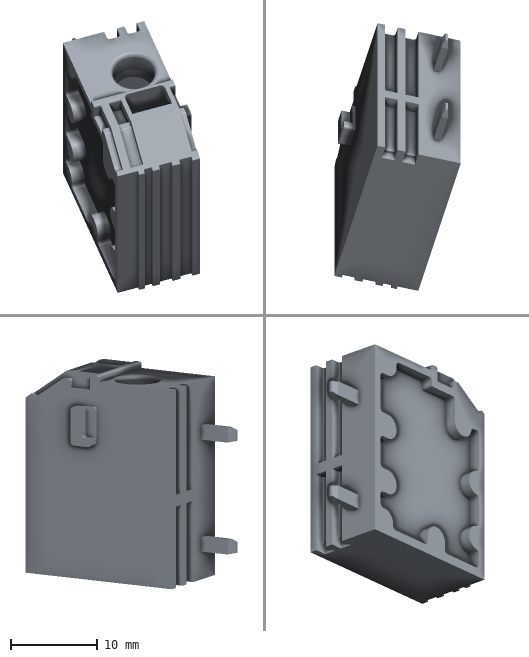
import cadquery as cq
import math

body_x = 19.65
body_y = 10.0
body_z = 24.25
edge_r = 0.27

deck_z = 23.5
ridge_x = 9.92
slope_x = 14.65
slope_angle = 35.0
slope_rise = math.tan(math.radians(slope_angle))

channel_bands = [(0, 0.8), (1.77, 3.3), (9.26, body_y)]
channel_x = 10.95
channel_step_x = 13.73
channel_floor_z = 22.43
channel_end_x = 18.8
channel_bend_r = 0.41

pocket_depth = 1.55
pocket_left = 1.0
pocket_right = 18.25
pocket_bottom = 1.07
pocket_top = 22.53
pocket_step_x = 10.0
pocket_step_z = 21.45
pocket_shoulder_x = 14.06
pocket_finger_z = 18.53
pocket_corner_r = 0.44
pocket_step_r = 0.3
boss_r = 1.5
left_boss_x = 2.28
left_boss_heights = [6.77, 13.8, 21.8]
right_boss_x = 18.07
right_boss_heights = [4.87, 11.83]
bottom_boss_x = 10.8
bottom_boss_z = 2.35
corner_boss = 1.7
shoulder_boss_r = 1.45
shoulder_boss_z = 18.45

groove_bands = [(5.07, 6.62), (7.57, 9.07)]
groove_depth = 1.25
groove_r = 0.3
bridge_bottom = 9.63
bridge_top = 10.94
recess_depth = 1.55
recess_z = 1.24
back_x = 19.25
rib_gap_bands = [(0, 2.5), (3.2, 4.2)] + groove_bands

well_x = 6.75
well_y = 6.33
well_d = 4.9
well_floor_d = 4.4
well_mouth_d = 5.92
well_straight = 2.67
well_taper = 0.97

window_left = 10.43
window_right = 13.43
window_front = 3.83
window_back = 8.73
window_corner_r = 0.53
ledge_z = 20.37
ledge_x = 11.37
right_ledge = 0.12
funnel_z = 14.55
throat_left = 10.85
throat_right = 11.88
throat_front = 4.27
throat_back = 8.12
throat_depth = 1.95

pin_length = 4.55
pin_y = 2.89
pin_heights = [4.2, 17.44]
pin_width = 0.8
pin_height = 1.75
pin_tip_width = 0.35
pin_tip_height = 1.29
pin_taper_x = -3.56
pin_bend = 0.085
pin_embed = 0.25

latch_left = 10.05
latch_right = 12.83
latch_bottom = 16.0
latch_top = 20.56
latch_y = 1.35
latch_neck = 0.36
latch_r = 0.35
notch_x = 11.23
notch_z = 17.0


def box(x0, x1, y0, y1, z0, z1):
    return cq.Workplane("XY").box(x1 - x0, y1 - y0, z1 - z0, centered=False).translate((x0, y0, z0))


def rod(x, z, radius, y0, y1):
    """Cylinder along Y."""
    return cq.Workplane("XZ", origin=(x, y0, z)).circle(radius).extrude(y0 - y1)


def prism(points, y0, y1):
    """XZ polygon extruded along Y."""
    return cq.Workplane("XZ", origin=(0, y0, 0)).polyline(points).close().extrude(y0 - y1)


def round_edge(solid, x, y, z, radius):
    """Fillet the one edge whose middle is nearest to the given point."""
    return solid.edges(cq.selectors.NearestToPointSelector((x, y, z))).fillet(radius)


def slope_z(x):
    """Height of the shoulder surface at x."""
    return body_z - slope_rise * (x - slope_x)


def housing():
    outline = [
        (0, 0), (body_x, 0), (body_x, slope_z(body_x)), (slope_x, body_z),
        (ridge_x, body_z), (ridge_x, deck_z), (0, deck_z),
    ]
    return round_edge(prism(outline, 0, body_y), ridge_x, body_y / 2, body_z, edge_r)


def top_channel(y0, y1):
    """Stepped channel whose far end runs parallel to the shoulder and closes in a quarter circle."""
    drop = body_z - deck_z
    angle = math.radians(slope_angle)
    end_r = drop * math.cos(angle)
    centre_x = channel_end_x - end_r * math.cos(angle)
    centre_z = slope_z(centre_x)
    floor_end = (centre_x - end_r * math.sin(angle), centre_z - end_r * math.cos(angle))
    middle_angle = math.pi / 4 - angle
    arc_middle = (centre_x + end_r * math.sin(middle_angle), centre_z - end_r * math.cos(middle_angle))
    mouth_mid = edge_r * (1 - math.sqrt(0.5))
    channel = (
        cq.Workplane("XZ", origin=(0, y0, 0))
        .moveTo(channel_x - edge_r, body_z)
        .threePointArc((channel_x - mouth_mid, body_z - mouth_mid), (channel_x, body_z - edge_r))
        .lineTo(channel_x, channel_floor_z)
        .lineTo(channel_step_x, channel_floor_z)
        .lineTo(channel_step_x, deck_z)
        .lineTo(slope_x, deck_z)
        .lineTo(*floor_end)
        .threePointArc(arc_middle, (channel_end_x, slope_z(channel_end_x)))
        .lineTo(slope_x, body_z)
        .close()
        .extrude(y0 - y1)
    )
    y_mid = (y0 + y1) / 2
    channel = round_edge(channel, channel_step_x, y_mid, deck_z, edge_r)
    return round_edge(channel, slope_x, y_mid, deck_z, channel_bend_r)


def side_pocket():
    """Shallow pocket that leaves round bosses standing around its rim."""
    outline = [
        (pocket_left, pocket_bottom), (pocket_right, pocket_bottom), (pocket_right, pocket_finger_z),
        (pocket_shoulder_x, pocket_finger_z), (pocket_shoulder_x, pocket_step_z),
        (pocket_step_x, pocket_step_z), (pocket_step_x, pocket_top), (pocket_left, pocket_top),
    ]
    pocket = prism(outline, 0, pocket_depth)
    pocket = round_edge(pocket, pocket_step_x, pocket_depth / 2, pocket_step_z, pocket_step_r)
    for z in left_boss_heights:
        pocket = pocket.cut(rod(left_boss_x, z, boss_r, 0, pocket_depth))
        pocket = pocket.cut(box(0, left_boss_x, 0, pocket_depth, z - boss_r, z + boss_r))
    for z in right_boss_heights:
        pocket = pocket.cut(rod(right_boss_x, z, boss_r, 0, pocket_depth))
    pocket = pocket.cut(rod(bottom_boss_x, bottom_boss_z, boss_r, 0, pocket_depth))
    pocket = pocket.cut(
        box(bottom_boss_x - boss_r, bottom_boss_x + boss_r, 0, pocket_depth, 0, bottom_boss_z)
    )
    reach = corner_boss + boss_r
    pocket = pocket.cut(rod(corner_boss, corner_boss, boss_r, 0, pocket_depth))
    pocket = pocket.cut(box(0, corner_boss, 0, pocket_depth, 0, reach))
    pocket = pocket.cut(box(0, reach, 0, pocket_depth, 0, corner_boss))
    top_boss_z = left_boss_heights[-1]
    pocket = pocket.cut(box(0, left_boss_x + boss_r, 0, pocket_depth, top_boss_z, pocket_top))
    shoulder_boss_x = pocket_shoulder_x + shoulder_boss_r
    pocket = pocket.cut(rod(shoulder_boss_x, shoulder_boss_z, shoulder_boss_r, 0, pocket_depth))
    outline_wire = pocket.faces("<Y").wires().val()
    return (
        cq.Workplane("XZ")
        .add(outline_wire)
        .toPending()
        .offset2D(-pocket_corner_r)
        .offset2D(pocket_corner_r)
        .extrude(-pocket_depth)
    )


def pin_face_groove(y0, y1):
    """Two round-cornered grooves with a bridge between, deepened without rounding at the base."""
    upper = box(0, groove_depth, y0, y1, bridge_top, body_z).edges("|Z and >X").fillet(groove_r)
    lower = box(0, groove_depth, y0, y1, 0, bridge_bottom).edges("|Z and >X").fillet(groove_r)
    recess = prism(
        [
            (0, 0), (recess_depth, 0), (recess_depth, recess_z), (groove_depth, recess_z),
            (groove_depth - groove_r, recess_z - groove_r), (0, recess_z - groove_r),
        ],
        y0, y1,
    )
    return upper.union(lower).union(recess)


def screw_well():
    r = well_d / 2
    mouth_r = well_mouth_d / 2 - r
    straight_z = deck_z - well_straight
    floor_z = straight_z - well_taper
    bend = mouth_r * (1 - math.sqrt(0.5))
    return (
        cq.Workplane("XZ")
        .moveTo(0, deck_z)
        .lineTo(r + mouth_r, deck_z)
        .threePointArc((r + bend, deck_z - bend), (r, deck_z - mouth_r))
        .lineTo(r, straight_z)
        .lineTo(well_floor_d / 2, floor_z)
        .lineTo(0, floor_z)
        .close()
        .revolve(360, (0, 0, 0), (0, 1, 0))
        .translate((well_x, well_y, 0))
    )


def wire_entry():
    """Straight mouth, funnel with a sloping right wall, and a narrower throat below."""
    mouth = box(window_left, window_right, window_front, window_back, ledge_z, body_z)
    mouth = mouth.edges("|Z and <X").fillet(window_corner_r)
    funnel_right = window_right - right_ledge
    funnel = (
        cq.Workplane("XZ", origin=(0, window_front, 0))
        .moveTo(ledge_x - edge_r, ledge_z)
        .radiusArc((ledge_x, ledge_z - edge_r), edge_r)
        .lineTo(ledge_x, funnel_z)
        .lineTo(funnel_right, ledge_z)
        .close()
        .extrude(window_front - window_back)
    )
    throat_z = funnel_z - throat_depth
    throat_rise = (throat_right - throat_left) * (ledge_z - funnel_z) / (funnel_right - ledge_x)
    throat = prism(
        [
            (throat_left, ledge_z), (throat_left, throat_z),
            (throat_right, throat_z + throat_rise), (throat_right, ledge_z),
        ],
        throat_front, throat_back,
    )
    return mouth.union(funnel).union(throat)


def solder_pin(z):
    """Flat pin whose tip tapers on all four sides."""
    half_w, half_h = pin_width / 2, pin_height / 2
    tip_w, tip_h = pin_tip_width / 2, pin_tip_height / 2
    side_taper_x = pin_taper_x - pin_bend
    taper_angle = math.atan((half_w - tip_w) / (pin_length + side_taper_x))
    bend_r = pin_bend / math.tan(taper_angle / 2)
    from_above = (
        cq.Workplane("XY")
        .polyline([
            (pin_embed, -half_w), (pin_embed, half_w), (side_taper_x, half_w),
            (-pin_length, tip_w), (-pin_length, -tip_w), (side_taper_x, -half_w),
        ])
        .close()
        .extrude(half_h, both=True)
    )
    for side in (-half_w, half_w):
        from_above = round_edge(from_above, side_taper_x, side, 0, bend_r)
    from_side = prism(
        [
            (pin_embed, -half_h), (pin_embed, half_h), (pin_taper_x, half_h),
            (-pin_length, tip_h), (-pin_length, -tip_h), (pin_taper_x, -half_h),
        ],
        -half_w, half_w,
    )
    return from_above.intersect(from_side).translate((0, pin_y, z))


def latch():
    """Rounded block on the back face with a notch that leaves only its neck at full width."""
    outer_y = body_y + latch_y
    block = box(latch_left, latch_right, body_y, outer_y, latch_bottom, latch_top)
    block = block.edges("|Y").fillet(latch_r)
    notch = box(0, notch_x, body_y + latch_neck, outer_y, notch_z, body_z)
    notch = notch.edges("|Y and >X and <Z").fillet(latch_r)
    return block.cut(notch)


result = housing()
for band in channel_bands:
    result = result.cut(top_channel(*band))
for band in rib_gap_bands:
    result = result.cut(box(back_x, body_x, *band, 0, body_z))
for band in groove_bands:
    result = result.cut(pin_face_groove(*band))
result = result.cut(side_pocket()).cut(screw_well()).cut(wire_entry())
for height in pin_heights:
    result = result.union(solder_pin(height))
result = result.union(latch())